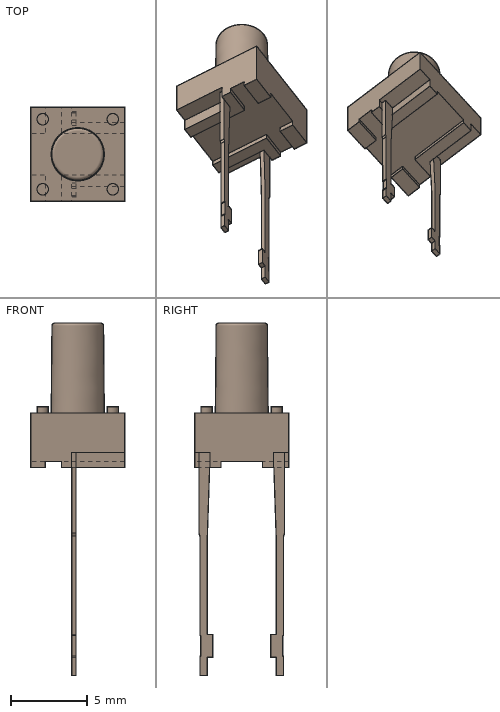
import cadquery as cq


BODY_SIZE = 6.2
BODY_HEIGHT = 3.6
HALF_BODY = BODY_SIZE / 2

BUTTON_TOP = 9.5
BUTTON_BASE_DIAMETER = 3.5
BUTTON_TOP_DIAMETER = 3.4
BUTTON_EDGE_RADIUS = 0.2

STUD_DIAMETER = 0.75
STUD_HEIGHT = 0.4
STUD_SPACING = 4.6

CHANNEL_DEPTH = 0.4
WIDE_CHANNEL_WIDTH = 2.7
NARROW_CHANNEL_WIDTH = 1.05
NARROW_CHANNEL_X = -1.6

RECESS_START_X = -0.4
RECESS_HEIGHT = 1.0
RECESS_DEPTH = 1.0

PIN_THICKNESS = 0.3
PIN_LENGTH = 13.65
PIN_INNER_Y = 2.25
PIN_OUTER_Y = 2.75
ROOT_INNER_Y = HALF_BODY - RECESS_DEPTH
ROOT_OUTER_Y = 2.82
SHOULDER_TOP_Z = -4.3
SHOULDER_BOTTOM_Z = -4.5

CRIMP_Z = -11.7
CRIMP_TAB_HEIGHT = 1.5
CRIMP_TAB_Y = 1.9
CRIMP_NOTCH_HEIGHT = 1.35
CRIMP_NOTCH_Y = 2.7


def make_housing():
    """Square block with a cross of channels below and a recess on each pin side."""
    housing = cq.Workplane("XY").box(BODY_SIZE, BODY_SIZE, BODY_HEIGHT, centered=(True, True, False))

    wide_channel = cq.Workplane("XY").box(
        BODY_SIZE, WIDE_CHANNEL_WIDTH, CHANNEL_DEPTH, centered=(True, True, False)
    )
    narrow_channel = (
        cq.Workplane("XY")
        .box(NARROW_CHANNEL_WIDTH, BODY_SIZE, CHANNEL_DEPTH, centered=(True, True, False))
        .translate((NARROW_CHANNEL_X, 0, 0))
    )
    housing = housing.cut(wide_channel).cut(narrow_channel)

    recess = (
        cq.Workplane("XY")
        .box(HALF_BODY - RECESS_START_X, RECESS_DEPTH, RECESS_HEIGHT, centered=False)
        .translate((RECESS_START_X, -HALF_BODY, 0))
    )
    return housing.cut(recess).cut(recess.mirror("XZ"))


def make_button():
    """Slightly tapered round button with a rounded top edge."""
    return (
        cq.Workplane("XY", origin=(0, 0, BODY_HEIGHT))
        .circle(BUTTON_BASE_DIAMETER / 2)
        .workplane(offset=BUTTON_TOP - BODY_HEIGHT)
        .circle(BUTTON_TOP_DIAMETER / 2)
        .loft()
        .faces(">Z")
        .edges()
        .fillet(BUTTON_EDGE_RADIUS)
    )


def make_studs():
    """Four rivet heads near the corners of the cover."""
    return (
        cq.Workplane("XY", origin=(0, 0, BODY_HEIGHT))
        .rarray(STUD_SPACING, STUD_SPACING, 2, 2)
        .circle(STUD_DIAMETER / 2)
        .extrude(STUD_HEIGHT)
    )


def make_pin():
    """Flat pin on the +Y side, seated against the walls and ceiling of the recess."""
    tab_top = CRIMP_Z + CRIMP_TAB_HEIGHT / 2
    tab_bottom = CRIMP_Z - CRIMP_TAB_HEIGHT / 2
    notch_top = CRIMP_Z + CRIMP_NOTCH_HEIGHT / 2
    notch_bottom = CRIMP_Z - CRIMP_NOTCH_HEIGHT / 2
    inner_edge = [
        (ROOT_INNER_Y, RECESS_HEIGHT),
        (ROOT_INNER_Y, 0),
        (PIN_INNER_Y, SHOULDER_BOTTOM_Z),
        (PIN_INNER_Y, tab_top),
        (CRIMP_TAB_Y, tab_top),
        (CRIMP_TAB_Y, tab_bottom),
        (PIN_INNER_Y, tab_bottom),
        (PIN_INNER_Y, -PIN_LENGTH),
    ]
    outer_edge = [
        (PIN_OUTER_Y, -PIN_LENGTH),
        (PIN_OUTER_Y, notch_bottom),
        (CRIMP_NOTCH_Y, notch_bottom),
        (CRIMP_NOTCH_Y, notch_top),
        (PIN_OUTER_Y, notch_top),
        (PIN_OUTER_Y, SHOULDER_BOTTOM_Z),
        (ROOT_OUTER_Y, SHOULDER_TOP_Z),
        (ROOT_OUTER_Y, RECESS_HEIGHT),
    ]
    return (
        cq.Workplane("YZ", origin=(RECESS_START_X, 0, 0))
        .polyline(inner_edge + outer_edge)
        .close()
        .extrude(PIN_THICKNESS)
    )


pin = make_pin()
result = make_housing().union(make_button()).union(make_studs()).union(pin).union(pin.mirror("XZ"))